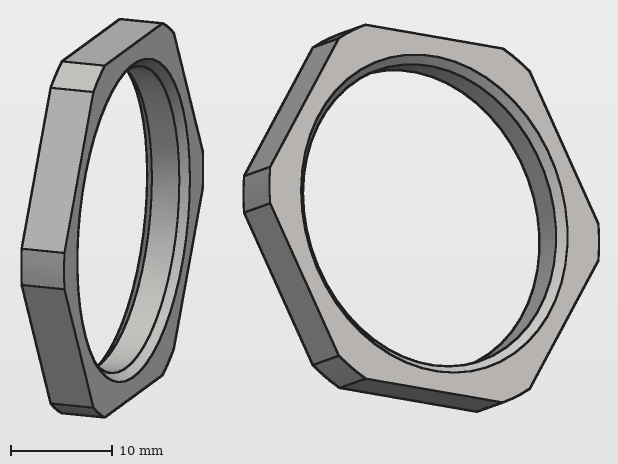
import cadquery as cq
import math

THICKNESS = 4.5
SIDES = 6
ACROSS_FLATS = 36.0
ACROSS_CORNERS = ACROSS_FLATS / math.cos(math.pi / SIDES)
CORNER_DIAMETER = 39.6
BORE_DIAMETER = 30.38
MOUTH_DIAMETER = 32.0
CHAMFER = (MOUTH_DIAMETER - BORE_DIAMETER) / 2


def trimmed_hexagon():
    """Hexagonal plate with its corners rounded to the corner diameter."""
    start = cq.Workplane("YZ").workplane(offset=-THICKNESS / 2)
    hexagon = start.polygon(SIDES, ACROSS_CORNERS).extrude(THICKNESS)
    corner_cylinder = start.circle(CORNER_DIAMETER / 2).extrude(THICKNESS)
    return hexagon.intersect(corner_cylinder)


def chamfered_bore():
    """Solid of the through bore, flared at both end faces."""
    half = THICKNESS / 2
    bore_radius = BORE_DIAMETER / 2
    mouth_radius = MOUTH_DIAMETER / 2
    profile = [
        (-half, 0),
        (-half, mouth_radius),
        (-half + CHAMFER, bore_radius),
        (half - CHAMFER, bore_radius),
        (half, mouth_radius),
        (half, 0),
    ]
    return cq.Workplane("XY").polyline(profile).close().revolve(360, (0, 0, 0), (1, 0, 0))


result = trimmed_hexagon().cut(chamfered_bore())